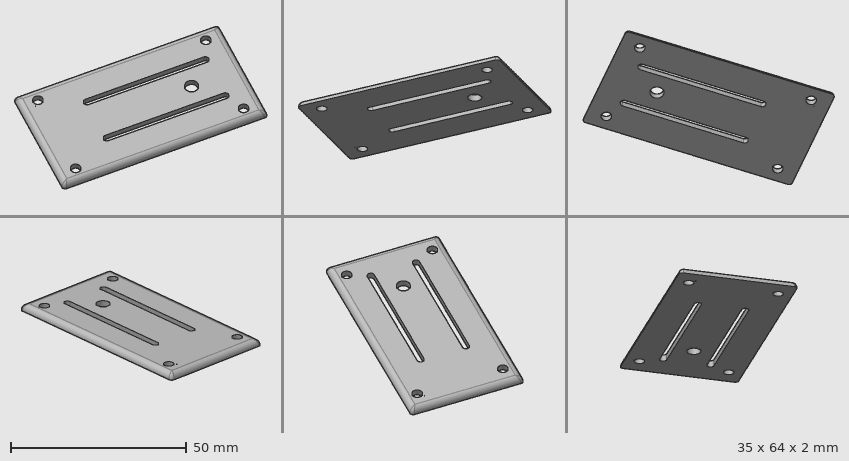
import cadquery as cq

width = 35.0
length = 64.0
thickness = 2.0
edge_radius = thickness
corner_radius = 1.0

mount_hole_diameter = 3.0
mount_spacing_x = 26.5
mount_spacing_y = 52.5

centre_hole_diameter = 4.0
centre_hole_y = 15.9

pinhole_diameter = 0.05
pinhole_x = -11.6
pinhole_y = -27.8

slot_spacing = 14.0
slot_width = 2.05
slot_length = 39.05
slot_centre_y = 4.8


def rounded_bar(plane, span, depth):
    """Bar with quarter-round upper edges, extruded symmetrically along the plane normal."""
    half_span = span / 2
    return (
        cq.Workplane(plane)
        .moveTo(-half_span, 0)
        .radiusArc((-half_span + edge_radius, thickness), edge_radius)
        .lineTo(half_span - edge_radius, thickness)
        .radiusArc((half_span, 0), edge_radius)
        .close()
        .extrude(depth / 2, both=True)
    )


def plate_body():
    """Plate whose rounded sides meet at softened mitre corners."""
    across = rounded_bar("XZ", width, length)
    along = rounded_bar("YZ", length, width)
    body = across.intersect(along)
    mitre_edges = body.edges("(not #Z) and (not |X) and (not |Y)")
    return body.newObject(mitre_edges.vals()).fillet(corner_radius)


def through_holes(points, diameter):
    return cq.Workplane("XY").pushPoints(points).circle(diameter / 2).extrude(thickness)


def slots():
    centres = [(side * slot_spacing / 2, slot_centre_y) for side in (-1, 1)]
    return cq.Workplane("XY").pushPoints(centres).slot2D(slot_length, slot_width, 90).extrude(thickness)


mount_points = [
    (side_x * mount_spacing_x / 2, side_y * mount_spacing_y / 2)
    for side_x in (-1, 1)
    for side_y in (-1, 1)
]

result = (
    plate_body()
    .cut(through_holes(mount_points, mount_hole_diameter))
    .cut(through_holes([(0, centre_hole_y)], centre_hole_diameter))
    .cut(through_holes([(pinhole_x, pinhole_y)], pinhole_diameter))
    .cut(slots())
)